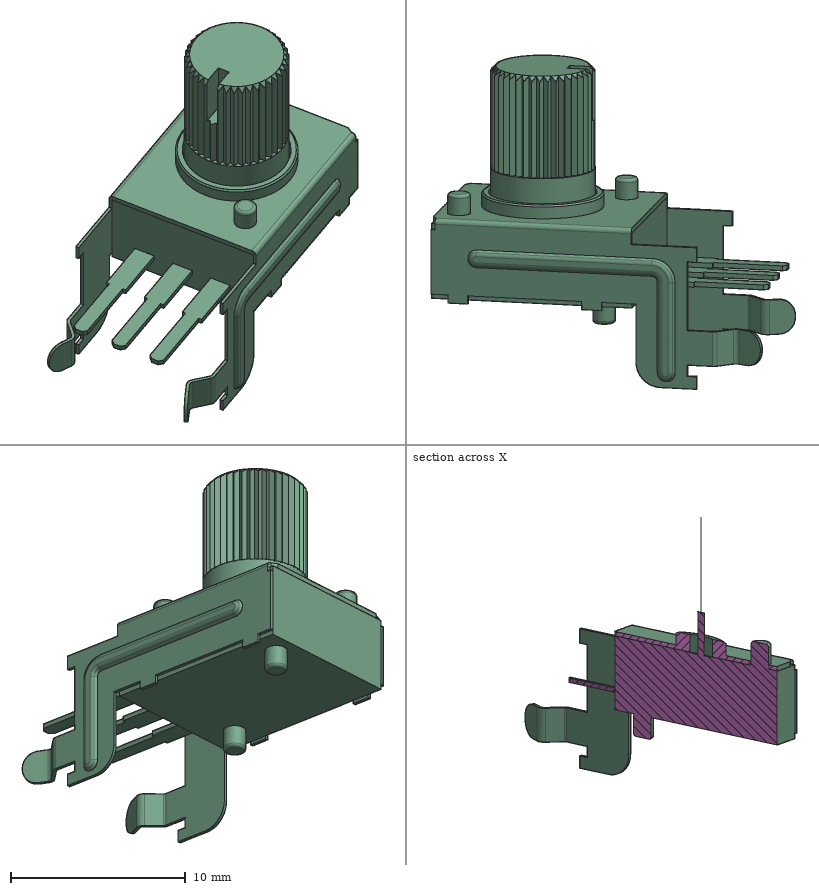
import cadquery as cq
import math


bracket_width = 9.69
plate_thickness = 0.29
wall_thickness = 0.2
bend_radius = 0.29
back_y = 5.48
front_y = -6.23
wall_bottom_z = -4.4
wall_outer_x = bracket_width / 2
wall_inner_x = wall_outer_x - wall_thickness

relief_depth = 0.23
relief_height = 0.62
relief_chamfer_width = 0.35

tab_width = 1.15
tab_bottom_z = -4.88
tab_offset_y = 3.92

leg_top_z = -0.93
leg_bottom_z = -9.23
leg_back_y = -6.5
leg_front_y = -9.51
hook_front_y = -10.05
upper_hook_bottom_z = -1.78
lower_hook_top_z = -8.5
leg_corner_radius = 1.45

clip_top_z = -5.8
clip_bottom_z = -7.84
clip_inward_bend_y = -11.14
clip_outward_bend_y = -12.18
clip_front_y = -13.82
clip_inward_angle = 43.0
clip_outward_angle = 25.0
clip_inward_bend_radius = 0.2
clip_outward_bend_radius = 0.29
clip_tip_radius = 0.96

rib_height = 0.25
rib_base_width = 1.05
rib_top_width = 0.62
rib_crest_fillet = 0.29
rib_path_radius = 0.81
rib_top_z = -2.2
rib_back_y = 2.8
rib_leg_y = -8.28
rib_bottom_z = -8.34

collar_diameter = 7.0
collar_height = 0.8
collar_chamfer = 0.1
collar_bore_clearance = 0.1

housing_bottom_z = -4.69
peg_diameter = 1.3
peg_top_z = 1.2
peg_bottom_z = -6.0
peg_fillet = 0.2
peg_offset_x = 3.0
peg_offset_y = 4.25
upper_peg_centers = [(-peg_offset_x, peg_offset_y), (peg_offset_x, -peg_offset_y)]
lower_peg_centers = [(-peg_offset_x, -peg_offset_y), (peg_offset_x, peg_offset_y)]

shaft_diameter = 6.0
shaft_top_z = 8.18
shaft_chamfer = 0.3
knurl_bottom_z = 2.24
knurl_teeth = 40
knurl_depth = 0.29
slot_width = 0.7
slot_bottom_z = 5.11
slot_inner_y = -1.5
shaft_radius = shaft_diameter / 2

terminal_pitch = 2.5
terminal_count = 3
terminal_top_z = -3.35
terminal_thickness = 0.29
terminal_wide_width = 1.27
terminal_narrow_width = 0.89
terminal_shoulder_y = -9.53
terminal_tip_y = -13.8
terminal_tip_chamfer = 0.23


def box_between(x_range, y_range, z_range):
    """A box spanning the given (low, high) ranges."""
    low = cq.Vector(x_range[0], y_range[0], z_range[0])
    high = cq.Vector(x_range[1], y_range[1], z_range[1])
    size = high - low
    return cq.Workplane("XY").box(size.x, size.y, size.z, centered=False).translate(low)


def make_channel():
    """The bracket's top plate and side walls, with rounded bends along Y."""
    body = box_between((-wall_outer_x, wall_outer_x), (front_y, back_y), (wall_bottom_z, 0))
    body = body.edges("|Y and >Z").fillet(bend_radius)
    inside = box_between(
        (-wall_inner_x, wall_inner_x), (front_y, back_y), (wall_bottom_z, -plate_thickness)
    )
    return body.cut(inside)


def make_corner_relief():
    """The cut at the -X back corner, with its slanted edge on the plate."""
    relief_y = back_y - relief_depth
    bend_inner_x = -wall_outer_x + bend_radius
    return (
        cq.Workplane("XY")
        .polyline(
            [
                (-wall_outer_x, relief_y),
                (bend_inner_x, relief_y),
                (bend_inner_x + relief_chamfer_width, back_y),
                (-wall_outer_x, back_y),
            ]
        )
        .close()
        .extrude(-relief_height)
    )


def make_tabs():
    """The two tabs under the -X wall."""
    tabs = cq.Workplane("XY")
    for center_y in (-tab_offset_y, tab_offset_y):
        tab = box_between(
            (-wall_outer_x, -wall_inner_x),
            (center_y - tab_width / 2, center_y + tab_width / 2),
            (tab_bottom_z, wall_bottom_z),
        )
        tabs = tabs.union(tab)
    return tabs


def make_leg():
    """The -X leg that continues the wall forward and down."""
    leg = (
        cq.Workplane("YZ", origin=(-wall_outer_x, 0, 0))
        .polyline(
            [
                (front_y, leg_top_z),
                (hook_front_y, leg_top_z),
                (hook_front_y, upper_hook_bottom_z),
                (leg_front_y, upper_hook_bottom_z),
                (leg_front_y, lower_hook_top_z),
                (hook_front_y, lower_hook_top_z),
                (hook_front_y, leg_bottom_z),
                (leg_back_y, leg_bottom_z),
                (leg_back_y, wall_bottom_z),
                (front_y, wall_bottom_z),
            ]
        )
        .close()
        .extrude(wall_thickness)
    )
    lower_back_corner = cq.NearestToPointSelector((-wall_outer_x, leg_back_y, leg_bottom_z))
    return leg.edges("|X").edges(lower_back_corner).fillet(leg_corner_radius)


def make_clip():
    """The -X spring clip: a strip bent inward, then outward, with a rounded tip."""
    inward = math.radians(clip_inward_angle)
    outward = math.radians(clip_outward_angle)
    inward_run = clip_inward_bend_y - clip_outward_bend_y
    outer_end_y = clip_front_y + wall_thickness * math.sin(outward)
    outward_run = clip_outward_bend_y - outer_end_y
    elbow_x = -wall_outer_x + inward_run * math.tan(inward)
    outer_face = [
        cq.Vector(-wall_outer_x, leg_front_y),
        cq.Vector(-wall_outer_x, clip_inward_bend_y),
        cq.Vector(elbow_x, clip_outward_bend_y),
        cq.Vector(elbow_x - outward_run * math.tan(outward), outer_end_y),
    ]
    straight_normal = cq.Vector(1, 0)
    inward_normal = cq.Vector(math.cos(inward), math.sin(inward))
    outward_normal = cq.Vector(math.cos(outward), -math.sin(outward))

    def mitre(first, second):
        return (first + second) * (wall_thickness / (1 + first.dot(second)))

    inner_face = [
        outer_face[0] + straight_normal * wall_thickness,
        outer_face[1] + mitre(straight_normal, inward_normal),
        outer_face[2] + mitre(inward_normal, outward_normal),
        outer_face[3] + outward_normal * wall_thickness,
    ]
    clip = (
        cq.Workplane("XY", origin=(0, 0, clip_bottom_z))
        .polyline([point.toTuple()[:2] for point in outer_face + inner_face[::-1]])
        .close()
        .extrude(clip_top_z - clip_bottom_z)
    )
    middle = cq.Vector(0, 0, (clip_bottom_z + clip_top_z) / 2)
    bends = [
        (outer_face[1], clip_inward_bend_radius + wall_thickness),
        (inner_face[1], clip_inward_bend_radius),
        (outer_face[2], clip_outward_bend_radius),
        (inner_face[2], clip_outward_bend_radius + wall_thickness),
    ]
    for corner, radius in bends:
        bend_edge = cq.NearestToPointSelector((corner + middle).toTuple())
        clip = clip.edges("|Z").edges(bend_edge).fillet(radius)
    tip_edges = cq.selectors.ParallelDirSelector(outward_normal)
    return clip.edges(tip_edges).fillet(clip_tip_radius)


def make_rib():
    """The -X stiffening rib: an L-shaped ridge with sloped flanks, round ends and a rounded crest."""
    half_base = rib_base_width / 2
    half_top = rib_top_width / 2
    crest_x = -wall_outer_x - rib_height
    bend_y = rib_leg_y + rib_path_radius
    bend_z = rib_top_z - rib_path_radius
    diagonal = rib_path_radius * math.sqrt(0.5)
    path = (
        cq.Workplane("YZ", origin=(-wall_outer_x, 0, 0))
        .moveTo(rib_back_y, rib_top_z)
        .lineTo(bend_y, rib_top_z)
        .threePointArc((bend_y - diagonal, bend_z + diagonal), (rib_leg_y, bend_z))
        .lineTo(rib_leg_y, rib_bottom_z)
    )
    rib = (
        cq.Workplane("XZ", origin=(0, rib_back_y, 0))
        .polyline(
            [
                (-wall_outer_x, rib_top_z + half_base),
                (crest_x, rib_top_z + half_top),
                (crest_x, rib_top_z - half_top),
                (-wall_outer_x, rib_top_z - half_base),
            ]
        )
        .close()
        .sweep(path)
    )
    for end_y, end_z in ((rib_back_y, rib_top_z), (rib_leg_y, rib_bottom_z)):
        round_end = cq.Solid.makeCone(
            half_base,
            half_top,
            rib_height,
            pnt=cq.Vector(-wall_outer_x, end_y, end_z),
            dir=cq.Vector(-1, 0, 0),
        )
        rib = rib.union(cq.Workplane(round_end))
    return rib.faces("<X").edges().fillet(rib_crest_fillet)


def make_collar():
    """The ring standing on the plate around the shaft."""
    collar = cq.Workplane("XY").circle(collar_diameter / 2).extrude(collar_height)
    return collar.faces(">Z").edges().chamfer(collar_chamfer)


def make_bracket():
    """The sheet-metal bracket and its collar, with openings for the shaft and the upper pegs."""
    bracket = make_channel().union(make_collar())
    side_features = make_tabs().union(make_leg()).union(make_clip()).union(make_rib())
    relief = make_corner_relief()
    bracket = bracket.union(side_features).union(side_features.mirror("YZ"))
    bracket = bracket.cut(relief).cut(relief.mirror("YZ"))
    under_plate = cq.Workplane("XY", origin=(0, 0, -plate_thickness))
    bore = under_plate.circle(shaft_radius + collar_bore_clearance).extrude(plate_thickness + collar_height)
    peg_openings = (
        under_plate.pushPoints(upper_peg_centers).circle(peg_diameter / 2).extrude(plate_thickness)
    )
    return bracket.cut(bore).cut(peg_openings)


def make_knurl_cutter():
    """A ring around the upper shaft whose inside has V-shaped teeth."""
    points = []
    for tooth in range(knurl_teeth):
        crest_angle = 2 * math.pi * tooth / knurl_teeth - math.pi / 2
        root_angle = crest_angle + math.pi / knurl_teeth
        root_radius = shaft_radius - knurl_depth
        points.append((shaft_radius * math.cos(crest_angle), shaft_radius * math.sin(crest_angle)))
        points.append((root_radius * math.cos(root_angle), root_radius * math.sin(root_angle)))
    knurl_height = shaft_top_z - knurl_bottom_z
    toothed = cq.Workplane("XY", origin=(0, 0, knurl_bottom_z)).polyline(points).close()
    ring = cq.Workplane("XY", origin=(0, 0, knurl_bottom_z)).circle(shaft_diameter)
    return ring.extrude(knurl_height).cut(toothed.extrude(knurl_height))


def make_shaft():
    """The shaft rising from the block, chamfered, knurled and slotted at its top."""
    shaft = (
        cq.Workplane("XY", origin=(0, 0, -plate_thickness))
        .circle(shaft_radius)
        .extrude(shaft_top_z + plate_thickness)
        .faces(">Z")
        .chamfer(shaft_chamfer)
        .cut(make_knurl_cutter())
    )
    slot = box_between(
        (-slot_width / 2, slot_width / 2),
        (-shaft_diameter, slot_inner_y),
        (slot_bottom_z, shaft_top_z),
    )
    return shaft.cut(slot)


def make_pegs(centers, base_z, end_z):
    """Locating pegs from the block's face at base_z, rounded at their free ends."""
    pegs = (
        cq.Workplane("XY", origin=(0, 0, base_z))
        .pushPoints(centers)
        .circle(peg_diameter / 2)
        .extrude(end_z - base_z)
    )
    free_ends = ">Z" if end_z > base_z else "<Z"
    return pegs.faces(free_ends).edges().fillet(peg_fillet)


def make_housing():
    """The block under the plate, with its shaft and locating pegs."""
    block = box_between(
        (-wall_inner_x, wall_inner_x), (front_y, back_y), (housing_bottom_z, -plate_thickness)
    )
    upper_pegs = make_pegs(upper_peg_centers, -plate_thickness, peg_top_z)
    lower_pegs = make_pegs(lower_peg_centers, housing_bottom_z, peg_bottom_z)
    return block.union(make_shaft()).union(upper_pegs).union(lower_pegs)


def make_terminal(center_x):
    """A flat terminal that narrows at its shoulder and starts at the housing's front face."""
    z_range = (terminal_top_z - terminal_thickness, terminal_top_z)
    half_wide = terminal_wide_width / 2
    half_narrow = terminal_narrow_width / 2
    root = box_between(
        (center_x - half_wide, center_x + half_wide), (terminal_shoulder_y, front_y), z_range
    )
    blade = box_between(
        (center_x - half_narrow, center_x + half_narrow),
        (terminal_tip_y, terminal_shoulder_y),
        z_range,
    )
    blade = blade.edges("|Z and <Y").chamfer(terminal_tip_chamfer)
    return root.union(blade)


bracket = make_bracket()
housing = make_housing()
terminals = []
for index in range(terminal_count):
    terminal_x = (index - (terminal_count - 1) / 2) * terminal_pitch
    terminals.append(make_terminal(terminal_x).val())

result = cq.Compound.makeCompound([bracket.val(), housing.val(), *terminals])